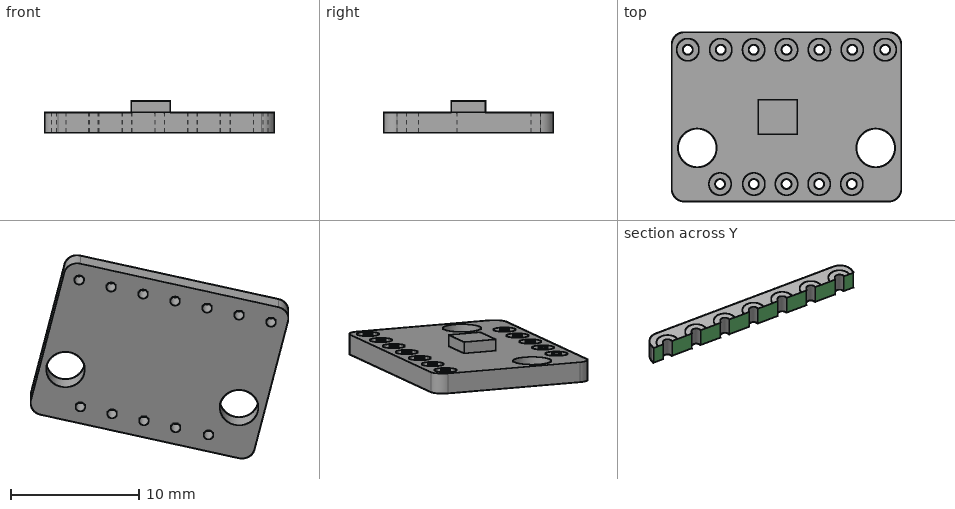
import cadquery as cq

board_length = 17.95
board_width = 13.25
board_thickness = 1.6
corner_radius = 1.02

total_height = 2.5
chip_length = 3.07
chip_width = 2.7
chip_center_x = -0.68
chip_center_y = -0.02
chip_height = total_height - board_thickness

mount_diameter = 3.0
mount_x = 6.96
mount_y = -2.42

pin_diameter = 0.75
pad_diameter = 1.75
pad_height = 0.009
row_y = 5.25
back_pitch = 2.57
back_count = 7
front_pitch = 2.55
front_end_x = -5.19

back_row = [((i - (back_count - 1) / 2) * back_pitch, row_y) for i in range(back_count)]
front_row = [(front_end_x, -row_y)] + [(i * front_pitch, -row_y) for i in (-1, 0, 1, 2)]
pin_points = back_row + front_row
mount_points = [(-mount_x, mount_y), (mount_x, mount_y)]


def rounded_board():
    board = cq.Workplane("XY").box(board_length, board_width, board_thickness, centered=(True, True, False))
    return board.edges("|Z").fillet(corner_radius)


def cylinders(points, diameter, height):
    return cq.Workplane("XY").pushPoints(points).circle(diameter / 2).extrude(height)


def chip():
    top_face = cq.Workplane("XY", origin=(chip_center_x, chip_center_y, board_thickness))
    return top_face.rect(chip_length, chip_width).extrude(chip_height)


pads = cylinders(pin_points, pad_diameter, board_thickness + pad_height)
pin_holes = cylinders(pin_points, pin_diameter, total_height)
mount_holes = cylinders(mount_points, mount_diameter, total_height)

result = rounded_board().union(chip()).union(pads).cut(pin_holes).cut(mount_holes)